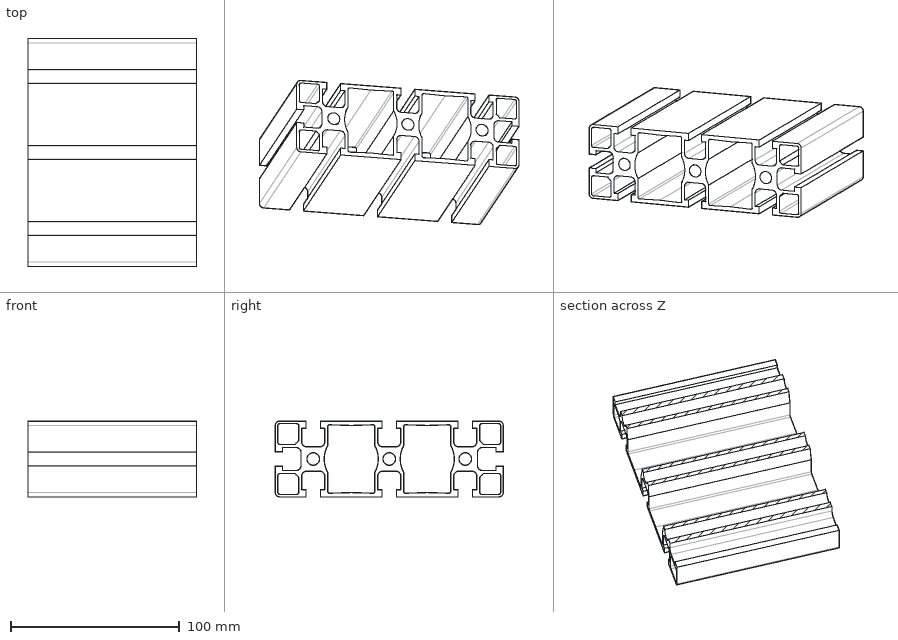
import cadquery as cq
import math

length = 100.0
total_width = 135.0
module_count = 3
module = total_width / module_count
half_module = module / 2

outer_corner_radius = 2.5
bore_diameter = 7.3

slot_opening = 8.4
slot_width = 13.5
lip_thickness = 4.3
core_half = 7.3
slot_floor_radius = 2.8

web_thickness = 1.9
skin_thickness = 1.6
pocket_size = half_module - slot_width / 2 - web_thickness - skin_thickness
pocket_corner_radius = 1.1
pocket_chamfer = 2.2

chamber_half_width = half_module - slot_width / 2 - web_thickness
chamber_skin_mid = 2.7
chamber_skin_edge = 2.3
chamber_corner_radius = 1.0
bulge_radius = 15.9

bore_positions = [(i - (module_count - 1) / 2) * module for i in range(module_count)]
chamber_positions = [(a + b) / 2 for a, b in zip(bore_positions, bore_positions[1:])]


def section():
    """Workplane of the cross-section: local x is Y, local y is Z, extruding along +X."""
    return cq.Workplane("YZ", origin=(-length / 2, 0, 0))


def t_slot(bore_y, angle):
    """Slot opening through the +Z face of a module, turned about that module's bore."""
    channel_top = half_module - lip_thickness
    opening = (
        section()
        .center(0, half_module - lip_thickness / 2)
        .rect(slot_opening, lip_thickness)
        .extrude(length)
    )
    channel = (
        section()
        .center(0, (core_half + channel_top) / 2)
        .rect(slot_width, channel_top - core_half)
        .extrude(length)
        .edges("|X and <Z")
        .fillet(slot_floor_radius)
    )
    slot = opening.union(channel)
    return slot.rotate((0, 0, 0), (1, 0, 0), angle).translate((0, bore_y, 0))


def corner_pocket():
    """Hollow in the +Y +Z corner, chamfered on the edge that faces the bore."""
    pocket_centre = half_module - skin_thickness - pocket_size / 2
    return (
        section()
        .center(bore_positions[-1] + pocket_centre, pocket_centre)
        .rect(pocket_size, pocket_size)
        .extrude(length)
        .edges("|X and <Y and <Z")
        .chamfer(pocket_chamfer)
        .edges("|X and (>Y or (<Y and >Z))")
        .fillet(pocket_corner_radius)
    )


def chamber(centre_y):
    """Large hollow with slightly crowned floor and roof and bulged sides."""
    half_width = chamber_half_width
    mid_z = half_module - chamber_skin_mid
    edge_z = half_module - chamber_skin_edge
    bulge_z = math.sqrt(bulge_radius**2 - half_width**2)
    hollow = (
        section()
        .moveTo(0, mid_z)
        .lineTo(half_width, edge_z)
        .lineTo(half_width, bulge_z)
        .threePointArc((bulge_radius, 0), (half_width, -bulge_z))
        .lineTo(half_width, -edge_z)
        .lineTo(0, -mid_z)
        .lineTo(-half_width, -edge_z)
        .lineTo(-half_width, -bulge_z)
        .threePointArc((-bulge_radius, 0), (-half_width, bulge_z))
        .lineTo(-half_width, edge_z)
        .close()
        .extrude(length)
        .edges("|X and (>Z or <Z)")
        .fillet(chamber_corner_radius)
    )
    return hollow.translate((0, centre_y, 0))


result = (
    section()
    .rect(total_width, module)
    .extrude(length)
    .edges("|X")
    .fillet(outer_corner_radius)
)

bores = section().pushPoints([(y, 0) for y in bore_positions]).circle(bore_diameter / 2).extrude(length)
result = result.cut(bores)

for bore_y in bore_positions:
    result = result.cut(t_slot(bore_y, 0))
    result = result.cut(t_slot(bore_y, 180))
result = result.cut(t_slot(bore_positions[0], 90))
result = result.cut(t_slot(bore_positions[-1], -90))

for centre_y in chamber_positions:
    result = result.cut(chamber(centre_y))

upper_pockets = corner_pocket()
upper_pockets = upper_pockets.union(upper_pockets.mirror("XZ"))
result = result.cut(upper_pockets).cut(upper_pockets.mirror("XY"))